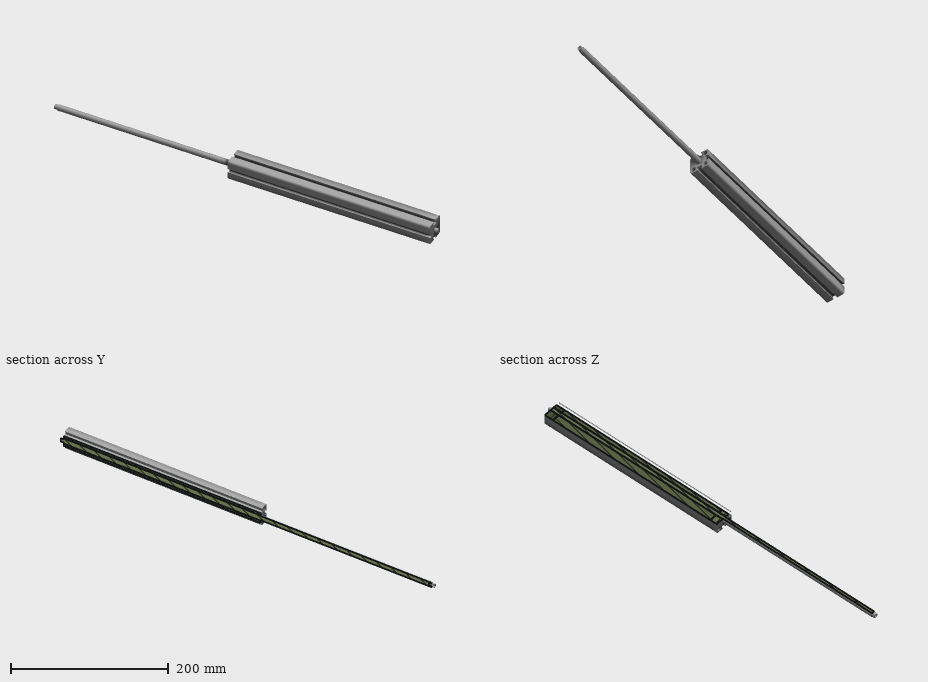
import cadquery as cq

ROD_LENGTH = 547.0
BODY_START = 254.0
BODY_END = 542.0
FRONT_CAP_LENGTH = 11.5
REAR_CAP_LENGTH = 13.0

BODY_WIDTH = 29.0
CORNER_RADIUS = 3.5

SLOT_OPENING = 5.5
SLOT_INNER_WIDTH = 8.0
SLOT_LIP = 1.0
SLOT_DEPTH = 5.5
SLOT_ANGLES = (0, 90, 180)

SCREW_OFFSET = 9.5
SCREW_HEAD_DIAMETER = 6.5
SCREW_HEAD_DEPTH = 4.5
SCREW_HOLE_DIAMETER = 3.5

ROD_DIAMETER = 8.0
END_DIAMETER = 6.5
TIP_LENGTH = 4.5
TIP_HOLE_DIAMETER = 3.5
TIP_HOLE_DEPTH = 8.0
REAR_CHAMFER = 1.0

TUBE_START = BODY_START + FRONT_CAP_LENGTH
TUBE_END = BODY_END - REAR_CAP_LENGTH


def section_at(x):
    """Workplane across the rod axis, with local x along +Z and local y along -Y."""
    return cq.Workplane(cq.Plane(origin=(x, 0, 0), xDir=(0, 0, 1), normal=(1, 0, 0)))


def t_slot(start, length, angle):
    """Cutter for one T-slot, modelled on the +Z side and turned about X."""
    surface = BODY_WIDTH / 2
    opening_center = surface - SLOT_DEPTH / 2
    opening = section_at(start).center(opening_center, 0).rect(SLOT_DEPTH, SLOT_OPENING).extrude(length)
    inner_height = SLOT_DEPTH - SLOT_LIP
    inner_center = surface - SLOT_LIP - inner_height / 2
    inner = section_at(start).center(inner_center, 0).rect(inner_height, SLOT_INNER_WIDTH).extrude(length)
    return opening.union(inner).rotate((0, 0, 0), (1, 0, 0), angle)


def profile_block(start, end):
    """Length of slotted square profile with a bore that fits the rod."""
    length = end - start
    block = section_at(start).rect(BODY_WIDTH, BODY_WIDTH).extrude(length)
    block = block.edges("|X").fillet(CORNER_RADIUS)
    for angle in SLOT_ANGLES:
        block = block.cut(t_slot(start, length, angle))
    return block.cut(section_at(start).circle(ROD_DIAMETER / 2).extrude(length))


def make_front_cap():
    """Front cap with a counterbored screw hole in each corner."""
    cap = profile_block(BODY_START, TUBE_START)
    spacing = 2 * SCREW_OFFSET
    corners = section_at(BODY_START).rect(spacing, spacing, forConstruction=True).vertices()
    heads = corners.circle(SCREW_HEAD_DIAMETER / 2).extrude(SCREW_HEAD_DEPTH)
    holes = corners.circle(SCREW_HOLE_DIAMETER / 2).extrude(FRONT_CAP_LENGTH)
    return cap.cut(heads).cut(holes)


def make_rod():
    """Rod through the whole body, with its stub chamfered and its tip drilled."""
    tip = section_at(0).circle(END_DIAMETER / 2).extrude(TIP_LENGTH)
    shank = section_at(TIP_LENGTH).circle(ROD_DIAMETER / 2).extrude(BODY_END - TIP_LENGTH)
    stub = section_at(BODY_END).circle(END_DIAMETER / 2).extrude(ROD_LENGTH - BODY_END)
    stub = stub.faces(">X").chamfer(REAR_CHAMFER)
    hole = section_at(0).circle(TIP_HOLE_DIAMETER / 2).extrude(TIP_HOLE_DEPTH)
    return tip.union(shank).union(stub).cut(hole)


front_cap = make_front_cap()
tube = profile_block(TUBE_START, TUBE_END)
rear_cap = profile_block(TUBE_END, BODY_END)
rod = make_rod()

result = cq.Compound.makeCompound([front_cap.val(), tube.val(), rear_cap.val(), rod.val()])